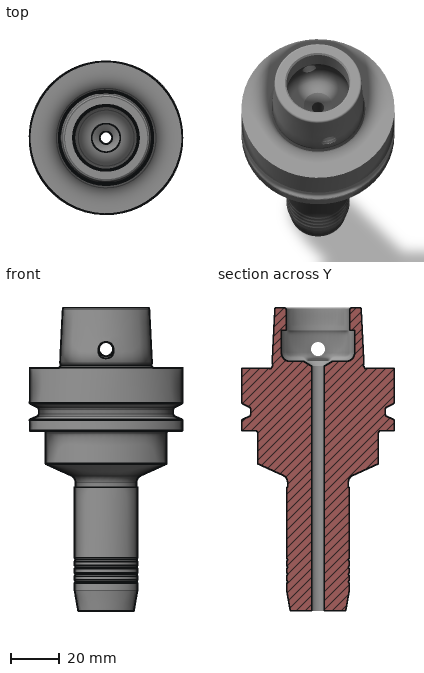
import cadquery as cq
total_length = 124.9

flange_top = 100.0
taper_base_radius = 19.0
taper_ratio = 0.05
taper_base_z = 102.2
taper_tip_rounding = 0.7

relief_neck_radius = 18.7
relief_neck_z = 101.0
relief_bottom_radius = 19.5
relief_outer_radius = 20.5
relief_depth = 0.2

flange_radius = 31.5
flange_bottom = 74.1
flange_edge_chamfer = 0.2
groove_root_radius = 27.7
groove_mouth_top = 85.4
groove_mouth_bottom = 78.8
groove_root_top = 83.5
groove_root_bottom = 80.4
groove_root_rounding = 1.0

collar_radius = 25.0
collar_bottom = 60.6
collar_top_rounding = 0.6
collar_edge_chamfer = 0.2
neck_radius = 12.6
cone_bottom = 55.0
neck_rounding = 2.9

shank_radius = 13.0
shank_top = 51.0
tip_taper_top = 8.6
tip_radius = 11.5
tip_chamfer = 0.2

ring_count = 4
ring_pitch = 3.0
ring_lowest_z = 12.1
ring_depth = 0.4
ring_half_height = 0.7

bore_radius = 13.0
bore_chamfer = 0.6
bore_relief_z = 115.4
bore_relief_depth = 2.0
bore_floor = 102.8
bore_floor_rounding = 3.5

channel_radius = 2.5
channel_mouth_radius = 5.9
channel_mouth_depth = 2.0

cross_hole_radius = 2.9
cross_hole_z = 107.8
cross_mouth_radius = 3.5
cross_mouth_z = flange_top + 7.4
cross_mouth_depth = 1.0


def turned(points):
    """Revolve a closed (radius, height) outline around Z."""
    return cq.Workplane("XZ").polyline(points).close().revolve(360, (0, 0), (0, 1))


def circles_at(radius, height):
    """Selector box picking the circular edge of the given radius and height."""
    margin = 0.06
    reach = radius + margin
    return cq.selectors.BoxSelector(
        (-reach, -reach, height - margin), (reach, reach, height + margin), boundingbox=True
    )


def make_taper():
    tip_radius_at_top = taper_base_radius - taper_ratio * (total_length - taper_base_z)
    taper = turned([
        (0, flange_top - relief_depth),
        (relief_bottom_radius, flange_top - relief_depth),
        (relief_neck_radius, relief_neck_z),
        (taper_base_radius, taper_base_z),
        (tip_radius_at_top, total_length),
        (0, total_length),
    ])
    return taper.faces(">Z").edges().fillet(taper_tip_rounding)


def make_flange():
    flange = cq.Workplane("XY", origin=(0, 0, flange_bottom)).circle(flange_radius)
    flange = flange.extrude(flange_top - flange_bottom)
    groove = turned([
        (groove_root_radius, groove_root_bottom),
        (flange_radius, groove_mouth_bottom),
        (flange_radius + 1.2, groove_mouth_bottom),
        (flange_radius + 1.2, groove_mouth_top),
        (flange_radius, groove_mouth_top),
        (groove_root_radius, groove_root_top),
    ])
    for height in (groove_root_bottom, groove_root_top):
        groove = groove.edges(circles_at(groove_root_radius, height)).fillet(groove_root_rounding)
    flange = flange.cut(groove)
    for height in (flange_bottom, groove_mouth_bottom, groove_mouth_top):
        flange = flange.edges(circles_at(flange_radius, height)).chamfer(flange_edge_chamfer)
    relief = turned([
        (0, flange_top - relief_depth),
        (relief_bottom_radius, flange_top - relief_depth),
        (relief_outer_radius, flange_top),
        (0, flange_top),
    ])
    return flange.cut(relief)


def make_shank():
    shank = turned([
        (0, 0),
        (tip_radius, 0),
        (shank_radius, tip_taper_top),
        (shank_radius, shank_top),
        (neck_radius, shank_top),
        (neck_radius, cone_bottom),
        (collar_radius, collar_bottom),
        (collar_radius, flange_bottom),
        (0, flange_bottom),
    ])
    shank = shank.edges(circles_at(neck_radius, cone_bottom)).fillet(neck_rounding)
    shank = shank.edges(circles_at(collar_radius, collar_bottom)).chamfer(collar_edge_chamfer)
    shank = shank.faces("<Z").edges().chamfer(tip_chamfer)
    for index in range(ring_count):
        z = ring_lowest_z + index * ring_pitch
        shank = shank.cut(turned([
            (shank_radius - ring_depth, z),
            (shank_radius, z - ring_half_height),
            (shank_radius + ring_depth, z - ring_half_height),
            (shank_radius + ring_depth, z + ring_half_height),
            (shank_radius, z + ring_half_height),
        ]))
    return shank


def make_bore():
    lower_radius = bore_radius + bore_relief_depth
    bore = turned([
        (0, bore_floor),
        (lower_radius, bore_floor),
        (lower_radius, bore_relief_z),
        (bore_radius, bore_relief_z),
        (bore_radius, total_length - bore_chamfer),
        (bore_radius + bore_chamfer, total_length),
        (0, total_length),
    ])
    bore = bore.faces("<Z").edges().fillet(bore_floor_rounding)
    channel = turned([
        (0, 0),
        (channel_radius, 0),
        (channel_radius, bore_floor - channel_mouth_depth),
        (channel_mouth_radius, bore_floor),
        (0, bore_floor),
    ])
    return bore.union(channel)


def cut_cross_hole(body):
    hole = cq.Workplane("XZ", origin=(0, 0, cross_hole_z)).circle(cross_hole_radius)
    body = body.cut(hole.extrude(taper_base_radius, both=True))
    wall_radius = taper_base_radius - taper_ratio * (cross_mouth_z - taper_base_z)
    for side in (1, -1):
        mouth = cq.Solid.makeCone(
            cross_mouth_radius, cross_mouth_radius - cross_mouth_depth, cross_mouth_depth,
            pnt=cq.Vector(0, side * wall_radius, cross_mouth_z), dir=cq.Vector(0, -side, 0),
        )
        body = body.cut(cq.Workplane(mouth))
    return body


body = make_shank().union(make_flange())
body = body.edges(circles_at(collar_radius, flange_bottom)).fillet(collar_top_rounding)
body = body.union(make_taper()).cut(make_bore())
result = cut_cross_hole(body)